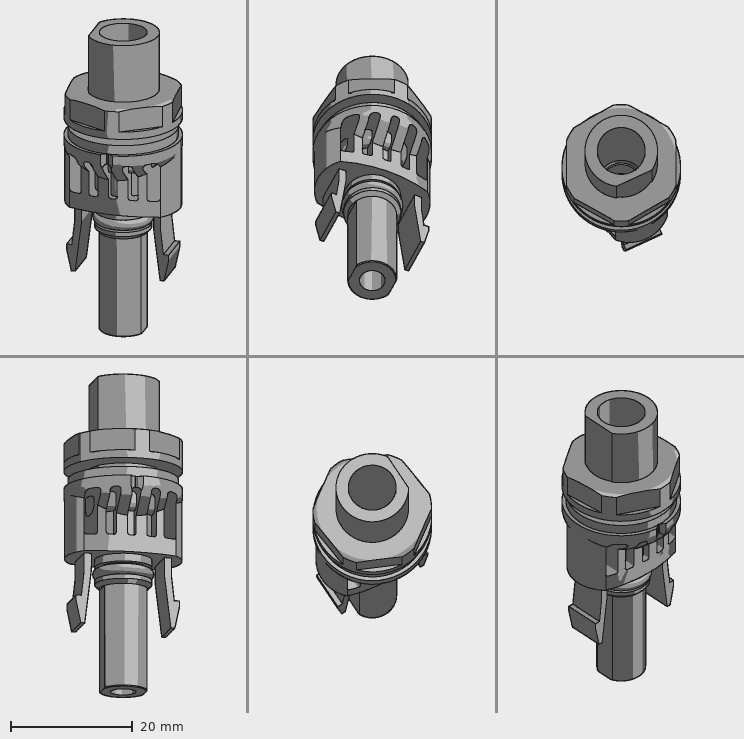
import cadquery as cq
import math

PIN_TOP_Z = 17.35
NOSE_Z = 18.05
GROOVE_BOTTOM_Z = 18.8
GROOVE_TOP_Z = 20.95
CAGE_BOTTOM_Z = 22.3
SLOT_BOTTOM_Z = 25.1
SLOT_TOP_Z = 32.4
SEAM_Z = 31.8
COLLAR_BOTTOM_Z = 34.25
COLLAR_TOP_Z = 35.9
NUT_BOTTOM_Z = 37.25
HEX_BOTTOM_Z = 38.55
NUT_TOP_Z = 42.3
TOP_Z = 52.3

TUBE_RADIUS = 5.95
TUBE_FLAT_X = -5.0

RIM_RADIUS = 19.5 / 2
HEX_APOTHEM = 9.0
HEX_CORNER_ANGLE = 35.3
NUT_CHAMFER_HEIGHT = 0.2
NUT_BORE_RADIUS = 5.8
COLLAR_RADIUS = 9.1

BOWL_ARC_RADIUS = 2.6
BOWL_ARC_TOP_Z = 32.95
CONE_SLOPE = math.radians(42)
CONE_END_RADIUS = 5.25

CAGE_HALF_LENGTH = RIM_RADIUS
CAGE_HALF_WIDTH = TUBE_RADIUS
CAGE_CORNER_X = 7.8
CAGE_CORNER_Y = 4.7

SLOTS = [(0, 1.45), (3.4, 1.65), (6.7, 2.15)]
SLOT_TOP_RADIUS = 0.7
SLOT_BOTTOM_RADIUS = 0.45

NOTCH_OUTER_HALF_WIDTH = 1.1
NOTCH_INNER_HALF_WIDTH = 0.8
NOTCH_SHOULDER_Y = 9.45
NOTCH_GROOVE_WIDTH = 0.3
NOTCH_GROOVE_Y = 8.9
NOTCH_CLEARANCE = 0.5

RING_RADIUS = 6.2
RING_BOTTOM_Z = 29.5
RING_FILLET = 1.0
CORE_RADIUS = 4.7
GROOVE_RADIUS = 3.75
SEAL_RADIUS = 5.0
SEAL_SECTION_RADIUS = 0.85
SEAL_Z = 19.8
PIN_RADIUS = 4.05
PIN_FLAT_X = 3.6
PIN_CHAMFER = 0.15

BORE_RADIUS = 3.9
BORE_SEAT_Z = 24.05
SEAT_RADIUS = 3.55
SOCKET_RADIUS = 3.3
SOCKET_TAPER_TOP_Z = 23.0
SOCKET_TAPER_RADIUS = 2.55
SOCKET_BOTTOM_Z = 19.9
THROUGH_RADIUS = 2.1

LEG_HALF_WIDTH = 3.25
LEG_OUTER_X = 7.4
LEG_INNER_X = 6.15
LEG_BEND_Z = 19.3
BARB_TOP_Z = 15.1
BARB_LOW_Z = 14.1
LEG_TIP_Z = 10.45
BARB_ROOT_X = 7.85
BARB_X = 8.75
TIP_OUTER_X = 7.95
TIP_INNER_X = 7.25


def disc(radius, bottom_z, top_z):
    return cq.Workplane("XY").workplane(offset=bottom_z).circle(radius).extrude(top_z - bottom_z)


def slab(x_min, x_max, bottom_z, top_z):
    """Block between two X planes, wider in Y than the whole part."""
    depth = 4 * RIM_RADIUS
    return cq.Workplane("XY").box(x_max - x_min, depth, top_z - bottom_z, centered=False).translate(
        (x_min, -depth / 2, bottom_z)
    )


def revolve_profile(profile):
    return profile.close().revolve(360, (0, 0, 0), (0, 1, 0))


def bowl():
    """Solid of revolution: straight rim, rounded shoulder and a cone running into the cage."""
    arc_center_r = RIM_RADIUS - BOWL_ARC_RADIUS
    turn = math.pi / 2 - CONE_SLOPE

    def arc_point(angle):
        drop = BOWL_ARC_RADIUS * math.sin(angle)
        return (arc_center_r + BOWL_ARC_RADIUS * math.cos(angle), BOWL_ARC_TOP_Z - drop)

    cone_start_r, cone_start_z = arc_point(turn)
    cone_end_z = cone_start_z - (cone_start_r - CONE_END_RADIUS) * math.tan(CONE_SLOPE)
    return revolve_profile(
        cq.Workplane("XZ")
        .moveTo(0, COLLAR_BOTTOM_Z)
        .lineTo(RIM_RADIUS, COLLAR_BOTTOM_Z)
        .lineTo(RIM_RADIUS, BOWL_ARC_TOP_Z)
        .threePointArc(arc_point(turn / 2), (cone_start_r, cone_start_z))
        .lineTo(CONE_END_RADIUS, cone_end_z)
        .lineTo(0, cone_end_z)
    )


def cage_outline():
    return (
        cq.Workplane("XY")
        .workplane(offset=CAGE_BOTTOM_Z)
        .moveTo(-CAGE_CORNER_X, -CAGE_CORNER_Y)
        .threePointArc((0, -CAGE_HALF_WIDTH), (CAGE_CORNER_X, -CAGE_CORNER_Y))
        .threePointArc((CAGE_HALF_LENGTH, 0), (CAGE_CORNER_X, CAGE_CORNER_Y))
        .threePointArc((0, CAGE_HALF_WIDTH), (-CAGE_CORNER_X, CAGE_CORNER_Y))
        .threePointArc((-CAGE_HALF_LENGTH, 0), (-CAGE_CORNER_X, -CAGE_CORNER_Y))
        .close()
    )


def slot_cutter(center_x, width):
    cutter = slab(center_x - width / 2, center_x + width / 2, SLOT_BOTTOM_Z, SLOT_TOP_Z)
    return cutter.edges("|Y and >Z").fillet(SLOT_TOP_RADIUS).edges("|Y and <Z").fillet(SLOT_BOTTOM_RADIUS)


def key_notch():
    """Notch through the front of the bowl rim, from the seam up to the collar."""
    clear_y = RIM_RADIUS + NOTCH_CLEARANCE
    flare = (NOTCH_OUTER_HALF_WIDTH - NOTCH_INNER_HALF_WIDTH) / (RIM_RADIUS - NOTCH_SHOULDER_Y)
    clear_half_width = NOTCH_OUTER_HALF_WIDTH + flare * NOTCH_CLEARANCE
    height = COLLAR_BOTTOM_Z - SEAM_Z
    scoop = (
        cq.Workplane("XY")
        .workplane(offset=SEAM_Z)
        .moveTo(-clear_half_width, -clear_y)
        .lineTo(-NOTCH_INNER_HALF_WIDTH, -NOTCH_SHOULDER_Y)
        .threePointArc((0, -COLLAR_RADIUS), (NOTCH_INNER_HALF_WIDTH, -NOTCH_SHOULDER_Y))
        .lineTo(clear_half_width, -clear_y)
        .close()
        .extrude(height)
    )
    groove = (
        cq.Workplane("XY")
        .workplane(offset=SEAM_Z)
        .center(0, -(clear_y + NOTCH_GROOVE_Y) / 2)
        .rect(NOTCH_GROOVE_WIDTH, clear_y - NOTCH_GROOVE_Y)
        .extrude(height)
    )
    return scoop.union(groove)


def cage():
    body = bowl().union(cage_outline().extrude(BOWL_ARC_TOP_Z - CAGE_BOTTOM_Z))
    for center_x, width in SLOTS:
        for side in {center_x, -center_x}:
            body = body.cut(slot_cutter(side, width))
    return body.cut(key_notch())


def nut():
    """Chamfered hexagon on a round rim, bored slightly smaller than the tube it grips."""
    hexagon = (
        cq.Workplane("XY")
        .workplane(offset=HEX_BOTTOM_Z)
        .polygon(6, 2 * HEX_APOTHEM / math.cos(math.radians(30)))
        .extrude(NUT_TOP_Z - HEX_BOTTOM_Z)
        .rotate((0, 0, 0), (0, 0, 1), HEX_CORNER_ANGLE)
    )
    chamfered_blank = revolve_profile(
        cq.Workplane("XZ")
        .moveTo(0, NUT_BOTTOM_Z)
        .lineTo(RIM_RADIUS, NUT_BOTTOM_Z)
        .lineTo(RIM_RADIUS, NUT_TOP_Z - NUT_CHAMFER_HEIGHT)
        .lineTo(COLLAR_RADIUS, NUT_TOP_Z)
        .lineTo(0, NUT_TOP_Z)
    )
    body = hexagon.union(disc(RIM_RADIUS, NUT_BOTTOM_Z, HEX_BOTTOM_Z)).intersect(chamfered_blank)
    return body.cut(disc(NUT_BORE_RADIUS, NUT_BOTTOM_Z, NUT_TOP_Z))


def tube():
    flat_cut = slab(-RIM_RADIUS, TUBE_FLAT_X, COLLAR_TOP_Z, TOP_Z)
    return disc(TUBE_RADIUS, COLLAR_BOTTOM_Z, TOP_Z).cut(flat_cut)


def core():
    """Ring and neck inside the cage, the seal groove and the nose below it."""
    ring = disc(RING_RADIUS, RING_BOTTOM_Z, COLLAR_BOTTOM_Z).faces("<Z").edges().fillet(RING_FILLET)
    neck = revolve_profile(
        cq.Workplane("XZ")
        .moveTo(0, PIN_TOP_Z)
        .lineTo(PIN_RADIUS, PIN_TOP_Z)
        .lineTo(CORE_RADIUS, NOSE_Z)
        .lineTo(CORE_RADIUS, GROOVE_BOTTOM_Z)
        .lineTo(GROOVE_RADIUS, GROOVE_BOTTOM_Z)
        .lineTo(GROOVE_RADIUS, GROOVE_TOP_Z)
        .lineTo(CORE_RADIUS, GROOVE_TOP_Z)
        .lineTo(CORE_RADIUS, COLLAR_BOTTOM_Z)
        .lineTo(0, COLLAR_BOTTOM_Z)
    )
    return ring.union(neck)


def seal():
    section = cq.Workplane("XZ").center(SEAL_RADIUS - SEAL_SECTION_RADIUS, SEAL_Z).circle(SEAL_SECTION_RADIUS)
    axis_x = SEAL_SECTION_RADIUS - SEAL_RADIUS
    return section.revolve(360, (axis_x, 0, 0), (axis_x, 1, 0))


def pin():
    body = disc(PIN_RADIUS, 0, PIN_TOP_Z).faces("<Z").edges().chamfer(PIN_CHAMFER)
    return body.intersect(slab(-PIN_FLAT_X, PIN_FLAT_X, 0, PIN_TOP_Z))


def bore():
    return revolve_profile(
        cq.Workplane("XZ")
        .moveTo(0, TOP_Z)
        .lineTo(BORE_RADIUS, TOP_Z)
        .lineTo(BORE_RADIUS, BORE_SEAT_Z)
        .lineTo(SEAT_RADIUS, BORE_SEAT_Z - (BORE_RADIUS - SEAT_RADIUS))
        .lineTo(SOCKET_RADIUS, BORE_SEAT_Z - (BORE_RADIUS - SEAT_RADIUS))
        .lineTo(SOCKET_RADIUS, SOCKET_TAPER_TOP_Z)
        .lineTo(SOCKET_TAPER_RADIUS, SOCKET_BOTTOM_Z)
        .lineTo(THROUGH_RADIUS, SOCKET_BOTTOM_Z)
        .lineTo(THROUGH_RADIUS, 0)
        .lineTo(0, 0)
    )


def snap_leg():
    """Leg on the +X side, ending in an outward barb."""
    return (
        cq.Workplane("XZ")
        .polyline([
            (LEG_INNER_X, CAGE_BOTTOM_Z),
            (LEG_INNER_X, LEG_BEND_Z),
            (TIP_INNER_X, LEG_TIP_Z),
            (TIP_OUTER_X, LEG_TIP_Z),
            (BARB_X, BARB_LOW_Z),
            (BARB_X, BARB_TOP_Z),
            (BARB_ROOT_X, BARB_TOP_Z),
            (LEG_OUTER_X, LEG_BEND_Z),
            (LEG_OUTER_X, CAGE_BOTTOM_Z),
        ])
        .close()
        .extrude(LEG_HALF_WIDTH, both=True)
    )


leg = snap_leg()
result = (
    cage()
    .union(disc(COLLAR_RADIUS, COLLAR_BOTTOM_Z, COLLAR_TOP_Z))
    .union(tube())
    .union(nut())
    .union(core())
    .union(seal())
    .union(pin())
    .union(leg)
    .union(leg.mirror("YZ"))
    .cut(bore())
)